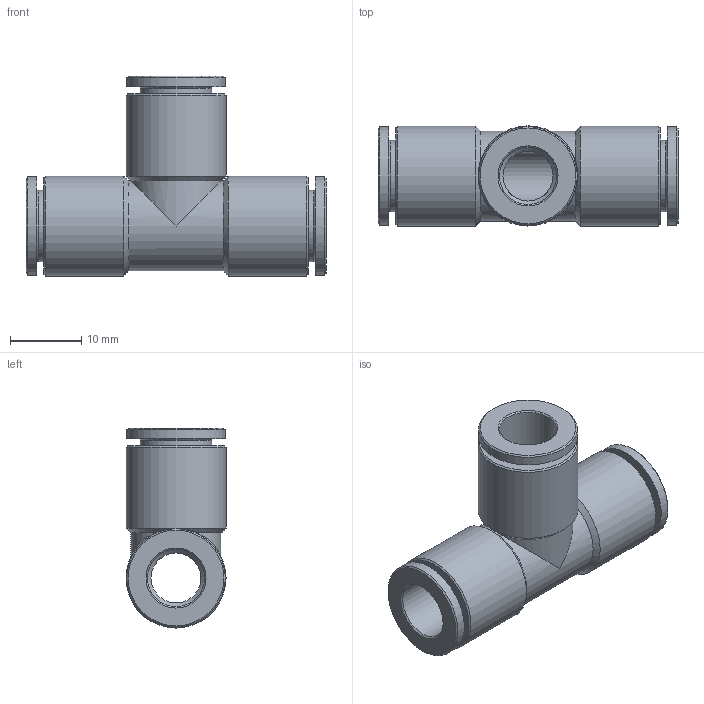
import cadquery as cq

reach = 21.0

collar_diameter = 13.8
collar_thickness = 1.5
edge_chamfer = 0.2

neck_diameter = 10.0
neck_length = 1.0
neck_chamfer = 0.2

socket_diameter = 14.0
run_socket_start = 7.3
branch_socket_start = 7.0

core_diameter = 12.6

entry_diameter = 8.0
passage_diameter = 7.0
entry_depth = 16.0

collar_radius = collar_diameter / 2
neck_radius = neck_diameter / 2
socket_radius = socket_diameter / 2
core_radius = core_diameter / 2
entry_radius = entry_diameter / 2
passage_radius = passage_diameter / 2

socket_slope = socket_radius - core_radius
entry_taper = entry_radius - passage_radius

collar_back = reach - collar_thickness
socket_end = collar_back - neck_length
entry_end = reach - entry_depth


def revolve_upward(profile):
    """Revolve (radius, height) points about the Z axis."""
    return cq.Workplane("XZ").polyline(profile).close().revolve(360, (0, 0), (0, 1))


def port_body(socket_start):
    """Core tube, socket, neck and collar of one port along +Z."""
    return revolve_upward([
        (0, 0),
        (core_radius, 0),
        (core_radius, socket_start - socket_slope),
        (socket_radius, socket_start),
        (socket_radius, socket_end - edge_chamfer),
        (socket_radius - edge_chamfer, socket_end),
        (neck_radius, socket_end),
        (neck_radius, collar_back - neck_chamfer),
        (neck_radius + neck_chamfer, collar_back),
        (collar_radius, collar_back),
        (collar_radius, reach - edge_chamfer),
        (collar_radius - edge_chamfer, reach),
        (0, reach),
    ])


def port_bore():
    """Passage with a wider, chamfered tube entry along +Z."""
    return revolve_upward([
        (0, 0),
        (passage_radius, 0),
        (passage_radius, entry_end - entry_taper),
        (entry_radius, entry_end),
        (entry_radius, reach - edge_chamfer),
        (entry_radius + edge_chamfer, reach),
        (0, reach),
    ])


def along_run(port):
    """Copy a +Z port onto both ends of the run, along -X and +X."""
    left = port.rotate((0, 0, 0), (0, 1, 0), -90)
    right = port.rotate((0, 0, 0), (0, 1, 0), 90)
    return left.union(right)


run_body = along_run(port_body(run_socket_start))
run_bore = along_run(port_bore())

body = run_body.union(port_body(branch_socket_start))
result = body.cut(run_bore).cut(port_bore())